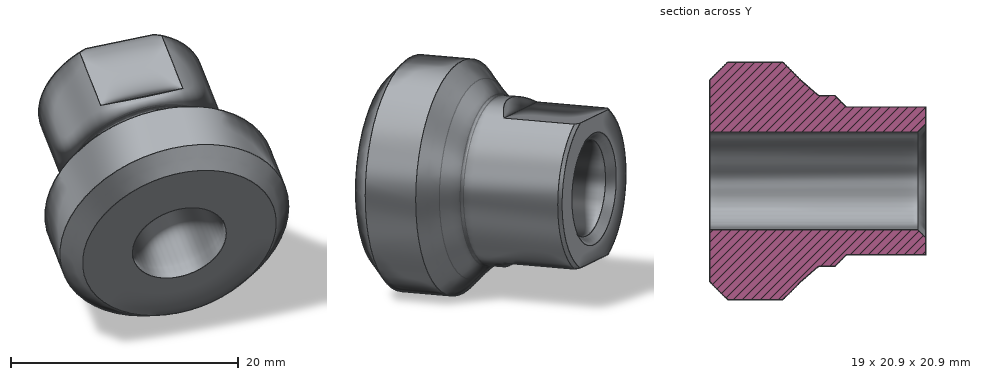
import cadquery as cq
import math

length = 19.0
shank_radius = 15.0 / 2
head_radius = 20.9 / 2
bore_radius = 8.57 / 2
bore_mouth_radius = 10.01 / 2

shank_chamfer = 0.3
head_chamfer = 1.6
head_rim_width = 4.8
neck_fillet_radius = 0.42
neck_cone_angle = math.radians(41)
head_cone_start_radius = 8.86

flat_width = 13.0
flat_length = 7.0

rim_end = length - head_chamfer
rim_start = rim_end - head_rim_width
head_cone_start = rim_start - (head_radius - head_cone_start_radius)


def fillet_point(angle):
    """Offset (axial, radial) along the neck fillet after turning by angle."""
    axial = neck_fillet_radius * math.sin(angle)
    radial = neck_fillet_radius * (1 - math.cos(angle))
    return axial, radial


fillet_axial, fillet_rise = fillet_point(neck_cone_angle)
middle_axial, middle_rise = fillet_point(neck_cone_angle / 2)
neck_cone_radius = shank_radius + fillet_rise
neck_cone_rise = head_cone_start_radius - neck_cone_radius
neck_cone_start = head_cone_start - neck_cone_rise / math.tan(neck_cone_angle)
fillet_start = neck_cone_start - fillet_axial


def turned_body():
    """Shank, neck and head with the through bore and its 45 degree mouth."""
    profile = (
        cq.Workplane("XY")
        .moveTo(0, bore_mouth_radius)
        .lineTo(0, shank_radius - shank_chamfer)
        .lineTo(shank_chamfer, shank_radius)
        .lineTo(fillet_start, shank_radius)
        .threePointArc(
            (fillet_start + middle_axial, shank_radius + middle_rise),
            (neck_cone_start, neck_cone_radius),
        )
        .lineTo(head_cone_start, head_cone_start_radius)
        .lineTo(rim_start, head_radius)
        .lineTo(rim_end, head_radius)
        .lineTo(length, head_radius - head_chamfer)
        .lineTo(length, bore_radius)
        .lineTo(bore_mouth_radius - bore_radius, bore_radius)
        .close()
    )
    return profile.revolve(360, (0, 0, 0), (1, 0, 0))


def flat_cutter():
    """Upper wrench flat with a 45 degree run-out towards the head."""
    flat_height = flat_width / 2
    cut_depth = shank_radius - flat_height
    return (
        cq.Workplane("XZ")
        .moveTo(0, flat_height)
        .lineTo(flat_length, flat_height)
        .lineTo(flat_length + cut_depth, shank_radius)
        .lineTo(0, shank_radius)
        .close()
        .extrude(shank_radius, both=True)
    )


upper_flat = flat_cutter()
lower_flat = upper_flat.mirror("XY")
result = turned_body().cut(upper_flat).cut(lower_flat)